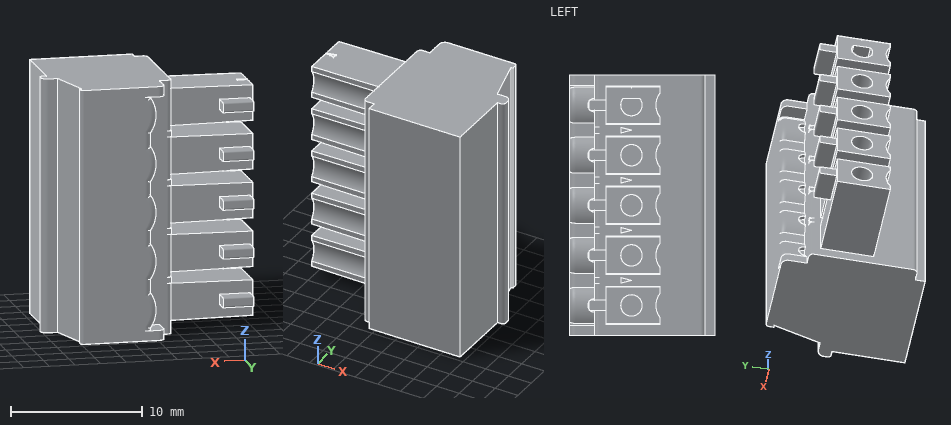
import cadquery as cq
import math

LENGTH_X = 16.1
DEPTH_Y = 11.1
HEIGHT = 19.84
POLES = 5
PITCH = 3.8
POLE_HEIGHTS = [HEIGHT / 2 + (i - (POLES - 1) / 2) * PITCH for i in range(POLES)]
TOP_POLE = POLE_HEIGHTS[-1]
GAP_HEIGHTS = [z + PITCH / 2 for z in POLE_HEIGHTS[:-1]]

FACE_X = 6.55
STEP_X = 7.5
STEP_Y_LOW = 0.77
STEP_Y_HIGH = 9.17
STEP_FILLET = 0.34
TOP_FILLET = 0.5
BACK_X = 15.51
LIP_X = 14.07
LIP_Y = 10.45
LIP_FILLET = 0.25
SLOPE_START_X = 13.89
SLOPE_END_X = 14.88
NOSE_Y_LOW = 5.65
NOSE_Y_HIGH = 6.7
NOSE_FILLET_LOW = 0.25
NOSE_FILLET_HIGH = 0.5

END_WALL = 0.8
RECESS_X = 8.55
SCALLOP_X = 8.11
SCALLOP_WIDTH = 2.74
PORT_RADIUS = 0.52
PORT_DEPTH = 0.4
RIB_WIDTH = 0.48

PLUG_Y_LOW = 4.19
PLUG_Y_HIGH = 8.3
PLUG_TIP_HEIGHT = 2.78
PLUG_ROOT_HEIGHT = 2.92
GROOVE_WIDTH = 1.86
GROOVE_DEPTH = 0.32
SOCKET_Y = 6.37
SOCKET_RADIUS = 0.81
SOCKET_DEPTH = 4.96
SOCKET_FLAT = 0.5
KEY_X_START = 0.24
KEY_X_END = 2.62
KEY_Y_HIGH = 9.6
KEY_THICKNESS = 0.8
KEY_FILLET = 0.14

ARROW_LENGTH = 0.8
ARROW_WIDTH = 0.42
ARROW_DEPTH = 0.08


def radius_from_chord(chord, rise):
    """Radius of the arc with the given chord and rise."""
    return (chord ** 2 / 4 + rise ** 2) / (2 * rise)


def edge_at(x, y):
    """Selector for the full-height edge through (x, y)."""
    return cq.selectors.BoxSelector((x - 0.02, y - 0.02, 0), (x + 0.02, y + 0.02, HEIGHT))


def block(x_start, x_end, y_start, y_end, z_start, z_end):
    """Box given by its limits along each axis."""
    size = (x_end - x_start, y_end - y_start, z_end - z_start)
    return cq.Workplane("XY").box(*size, centered=False).translate((x_start, y_start, z_start))


def make_housing():
    outline = [
        (STEP_X, 0), (BACK_X, 0), (BACK_X, NOSE_Y_LOW),
        (LENGTH_X, NOSE_Y_LOW), (LENGTH_X, NOSE_Y_HIGH), (SLOPE_END_X, NOSE_Y_HIGH),
        (SLOPE_START_X, LIP_Y), (LIP_X, LIP_Y), (LIP_X, DEPTH_Y), (STEP_X, DEPTH_Y),
        (STEP_X, STEP_Y_HIGH), (FACE_X, STEP_Y_HIGH), (FACE_X, STEP_Y_LOW), (STEP_X, STEP_Y_LOW),
    ]
    rounded_corners = [
        (LENGTH_X, NOSE_Y_LOW, NOSE_FILLET_LOW),
        (LENGTH_X, NOSE_Y_HIGH, NOSE_FILLET_HIGH),
        (LIP_X, DEPTH_Y, LIP_FILLET),
        (STEP_X, DEPTH_Y, TOP_FILLET),
        (FACE_X, STEP_Y_HIGH, STEP_FILLET),
        (FACE_X, STEP_Y_LOW, STEP_FILLET),
    ]
    housing = cq.Workplane("XY").polyline(outline).close().extrude(HEIGHT)
    for x, y, radius in rounded_corners:
        housing = housing.edges(edge_at(x, y)).fillet(radius)
    return housing


def make_recess():
    """Space cut out between the end walls, down to the recessed wall with its rounded +Y edge."""
    bend = TOP_FILLET * math.sqrt(0.5)
    center_x = RECESS_X + TOP_FILLET
    center_y = DEPTH_Y - TOP_FILLET
    return (
        cq.Workplane("XY").workplane(offset=END_WALL)
        .moveTo(FACE_X, STEP_Y_HIGH)
        .lineTo(RECESS_X, STEP_Y_HIGH)
        .lineTo(RECESS_X, center_y)
        .threePointArc((center_x - bend, center_y + bend), (center_x, DEPTH_Y))
        .lineTo(FACE_X, DEPTH_Y)
        .close()
        .extrude(HEIGHT - 2 * END_WALL)
    )


def make_scallop(z):
    """Bulge about an axis along Y, with its +Y end rounded."""
    radius = radius_from_chord(SCALLOP_WIDTH, RECESS_X - SCALLOP_X)
    bulge = (
        cq.Workplane("XZ", origin=(SCALLOP_X + radius, DEPTH_Y, z))
        .circle(radius).extrude(DEPTH_Y - STEP_Y_HIGH)
        .faces(">Y").edges().fillet(TOP_FILLET)
    )
    half = SCALLOP_WIDTH / 2
    window = block(SCALLOP_X, SCALLOP_X + radius, STEP_Y_HIGH, DEPTH_Y, z - half, z + half)
    port = (
        cq.Workplane("YZ", origin=(SCALLOP_X, STEP_Y_HIGH, z))
        .circle(PORT_RADIUS).extrude(PORT_DEPTH)
    )
    return bulge.intersect(window).cut(port)


def make_rib(z):
    """Square corner left on the rounded step edge between two poles."""
    return block(
        FACE_X, FACE_X + STEP_FILLET, STEP_Y_HIGH - STEP_FILLET, STEP_Y_HIGH,
        z - RIB_WIDTH / 2, z + RIB_WIDTH / 2,
    )


def make_plug(z):
    tip = PLUG_TIP_HEIGHT / 2
    root = PLUG_ROOT_HEIGHT / 2
    body = (
        cq.Workplane("XZ", origin=(0, PLUG_Y_HIGH, z))
        .polyline([(0, -tip), (FACE_X, -root), (FACE_X, root), (0, tip)]).close()
        .extrude(PLUG_Y_HIGH - PLUG_Y_LOW)
    )
    groove_radius = radius_from_chord(GROOVE_WIDTH, GROOVE_DEPTH)
    groove = (
        cq.Workplane("YZ", origin=(0, PLUG_Y_LOW + GROOVE_DEPTH - groove_radius, z))
        .circle(groove_radius).extrude(FACE_X)
    )
    key = block(
        KEY_X_START, KEY_X_END, PLUG_Y_HIGH, KEY_Y_HIGH,
        z - KEY_THICKNESS / 2, z + KEY_THICKNESS / 2,
    )
    key = key.faces(">Y").edges("|X").fillet(KEY_FILLET)
    return body.cut(groove).union(key)


def make_socket(z):
    socket = cq.Workplane("YZ", origin=(0, SOCKET_Y, z)).circle(SOCKET_RADIUS).extrude(SOCKET_DEPTH)
    if z == TOP_POLE:
        above_flat = block(
            0, SOCKET_DEPTH, SOCKET_Y - SOCKET_RADIUS, SOCKET_Y + SOCKET_RADIUS,
            z + SOCKET_FLAT, z + SOCKET_RADIUS,
        )
        socket = socket.cut(above_flat)
    return socket


def make_face_arrow(z):
    """Arrow in the plug face, pointing to -Y."""
    return (
        cq.Workplane("YZ", origin=(FACE_X, SOCKET_Y, z))
        .polyline([(0, 0), (ARROW_LENGTH, ARROW_WIDTH / 2), (ARROW_LENGTH, -ARROW_WIDTH / 2)])
        .close().extrude(ARROW_DEPTH)
    )


def make_plug_arrow():
    """Arrow in the upper side of the top plug, pointing to the plug tip."""
    floor = TOP_POLE + PLUG_TIP_HEIGHT / 2 - ARROW_DEPTH
    return (
        cq.Workplane("XY", origin=(0, SOCKET_Y, floor))
        .polyline([(0, 0), (ARROW_LENGTH, ARROW_WIDTH / 2), (ARROW_LENGTH, -ARROW_WIDTH / 2)])
        .close().extrude(PLUG_ROOT_HEIGHT / 2)
    )


result = make_housing().cut(make_recess())
for pole_z in POLE_HEIGHTS:
    result = result.union(make_scallop(pole_z))
    result = result.union(make_plug(pole_z))
    result = result.cut(make_socket(pole_z))
for gap_z in GAP_HEIGHTS:
    result = result.union(make_rib(gap_z))
    result = result.cut(make_face_arrow(gap_z))
result = result.cut(make_plug_arrow())